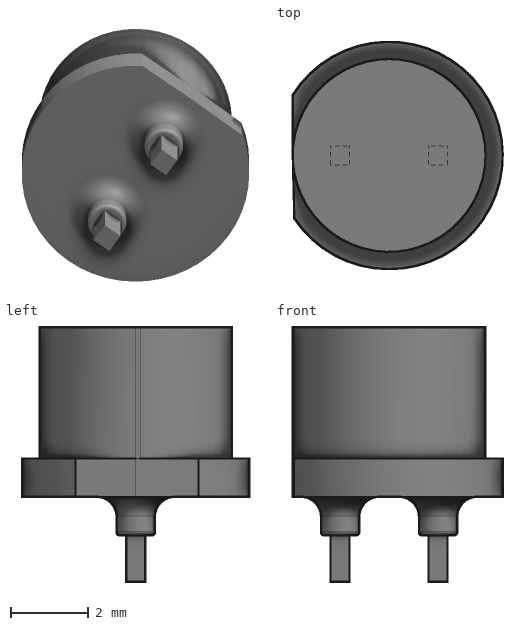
import cadquery as cq
import math

body_diameter = 5.0
body_height = 3.4

flange_diameter = 5.9
flange_height = 1.0
flat_x = -body_diameter / 2
flat_lean_angle = 1.4

pin_pitch = 2.54
standoff_diameter = 1.0
standoff_height = 1.0
flare_radius = 0.5
standoff_edge_radius = 0.1
lead_width = 0.5
lead_length = 1.2

flange_bottom_z = 0.0
flange_top_z = flange_bottom_z + flange_height
standoff_bottom_z = flange_bottom_z - standoff_height


def make_flange():
    return (
        cq.Workplane("XY", origin=(0, 0, flange_bottom_z))
        .circle(flange_diameter / 2)
        .extrude(flange_height)
    )


def make_body():
    return (
        cq.Workplane("XY", origin=(0, 0, flange_top_z))
        .circle(body_diameter / 2)
        .extrude(body_height)
    )


def make_flat_cutter():
    """Block outside the flat: its face is square to X for +Y and leans inward for -Y."""
    reach = flange_diameter / 2
    lean = reach * math.tan(math.radians(flat_lean_angle))
    return (
        cq.Workplane("XY", origin=(0, 0, flange_bottom_z))
        .moveTo(flat_x, reach)
        .lineTo(flat_x, 0)
        .lineTo(flat_x + lean, -reach)
        .lineTo(flat_x - reach, -reach)
        .lineTo(flat_x - reach, reach)
        .close()
        .extrude(flange_height + body_height)
    )


def make_standoff():
    """Turned post on the Z axis, flaring out to meet the flange."""
    radius = standoff_diameter / 2
    flare_bottom_z = flange_bottom_z - flare_radius
    overlap_z = flange_bottom_z + flange_height / 2
    post = (
        cq.Workplane("XZ")
        .moveTo(0, standoff_bottom_z)
        .lineTo(radius, standoff_bottom_z)
        .lineTo(radius, flare_bottom_z)
        .radiusArc((radius + flare_radius, flange_bottom_z), flare_radius)
        .lineTo(radius + flare_radius, overlap_z)
        .lineTo(0, overlap_z)
        .close()
        .revolve(360, (0, 0, 0), (0, 1, 0))
    )
    return post.faces("<Z").edges().fillet(standoff_edge_radius)


def make_lead():
    """Square lead below the standoff, on the Z axis."""
    return (
        cq.Workplane("XY", origin=(0, 0, standoff_bottom_z))
        .rect(lead_width, lead_width)
        .extrude(-lead_length)
    )


result = make_flange().union(make_body()).cut(make_flat_cutter())
pin = make_standoff().union(make_lead())
for side in (-1, 1):
    result = result.union(pin.translate((side * pin_pitch / 2, 0, 0)))